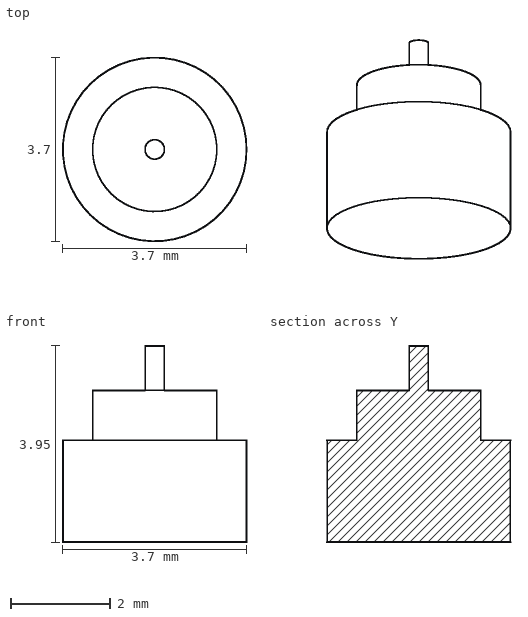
import cadquery as cq

total_height = 3.95
body_diameter = 3.7
body_height = 2.05

collar_diameter = 2.5
collar_height = 1.005

pin_diameter = 0.39
pin_height = total_height - body_height - collar_height


def add_cylinder(part, diameter, height):
    """Stack a centred cylinder on the top face of the part."""
    return part.faces(">Z").workplane().circle(diameter / 2).extrude(height)


body = cq.Workplane("XY").circle(body_diameter / 2).extrude(body_height)
body_and_collar = add_cylinder(body, collar_diameter, collar_height)
result = add_cylinder(body_and_collar, pin_diameter, pin_height)